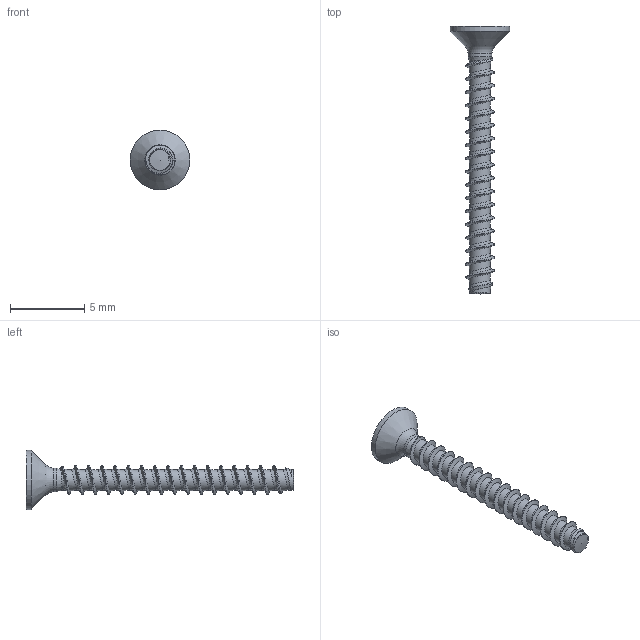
import cadquery as cq
import math

length = 18.0

head_radius = 2.0
head_rim = 0.35
cone_angle = 45
shank_radius = 0.8
neck_fillet = 0.75
shank_end = 2.07
taper_end = 2.41

pitch = 0.889
crest_radius = 1.0
crest_width = 0.03
root_radius = 0.72
valley_radius = 0.69
valley_offset = 0.32
head_side_root = 0.13
tip_side_root = 0.10

last_crest = 17.33
turns = 19
run_in_end = 2.8
run_out_start = 16.7
tip_radius = valley_radius
tip_cone_height = 0.05

sleeve_bore = 0.5
core_radius = 0.6


def revolve_about_axis(profile):
    """Turn a (radius, -depth) profile about the local Z axis."""
    return profile.close().revolve(360, (0, 0, 0), (0, 1, 0))


def make_head():
    """Head, filleted neck, plain shank and the taper into the thread."""
    bend = math.radians(cone_angle)
    cone_end_radius = shank_radius + neck_fillet * (1 - math.cos(bend))
    cone_end = head_rim + (head_radius - cone_end_radius) / math.tan(bend)
    neck_end = cone_end + neck_fillet * math.sin(bend)
    neck_middle = (
        shank_radius + neck_fillet * (1 - math.cos(bend / 2)),
        -(neck_end - neck_fillet * math.sin(bend / 2)),
    )
    profile = (
        cq.Workplane("XZ")
        .lineTo(head_radius, 0)
        .lineTo(head_radius, -head_rim)
        .lineTo(cone_end_radius, -cone_end)
        .threePointArc(neck_middle, (shank_radius, -neck_end))
        .lineTo(shank_radius, -shank_end)
        .lineTo(valley_radius, -taper_end)
        .lineTo(0, -taper_end)
    )
    return revolve_about_axis(profile)


def thread_section():
    """Corners (radius, height) of one pitch of the sleeve, measured from the crest."""
    lower_valley = valley_offset - pitch
    return [
        (sleeve_bore, lower_valley),
        (valley_radius, lower_valley),
        (root_radius, -tip_side_root),
        (crest_radius, -crest_width / 2),
        (crest_radius, crest_width / 2),
        (root_radius, head_side_root),
        (valley_radius, valley_offset),
        (sleeve_bore, valley_offset),
    ]


def helical_faces(first, second, start):
    """One right-handed turn of the surface between two section corners."""
    edges = [
        cq.Wire.makeHelix(pitch, pitch, radius, cq.Vector(0, 0, start + height))
        for radius, height in (first, second)
    ]
    return cq.Face.makeRuledSurface(*edges).Faces()


def end_face(level):
    """Flat face that closes the sleeve where its helix begins or ends."""
    corners = [cq.Vector(radius, 0, level + height) for radius, height in thread_section()]
    return cq.Face.makeFromWires(cq.Wire.makePolygon(corners, close=True))


def make_sleeve():
    """Hollow threaded sleeve, one pitch-wide strip wound over all turns."""
    corners = thread_section()
    start = -(last_crest + pitch)
    last_turn = start + (turns - 1) * pitch
    faces = [end_face(start), end_face(start + turns * pitch)]
    faces += helical_faces(corners[0], corners[1], start)
    faces += helical_faces(corners[-2], corners[-1], last_turn)
    for turn in range(turns):
        level = start + turn * pitch
        for lower, upper in zip(corners[1:-2], corners[2:-1]):
            faces += helical_faces(lower, upper, level)
        faces += helical_faces(corners[-1], corners[0], level)
    return cq.Workplane(obj=cq.Solid.makeSolid(cq.Shell.makeShell(faces)))


def make_envelope():
    """Outer limit of the threaded length: run-in cone, run-out cone and tip."""
    tip_edge = length - tip_cone_height
    profile = (
        cq.Workplane("XZ")
        .moveTo(0, -shank_end)
        .lineTo(shank_radius, -shank_end)
        .lineTo(crest_radius, -run_in_end)
        .lineTo(crest_radius, -run_out_start)
        .lineTo(tip_radius, -tip_edge)
        .lineTo(0, -length)
    )
    return revolve_about_axis(profile)


def make_threaded_length():
    """Sleeve filled by the core and trimmed to the envelope."""
    core = cq.Workplane("XY").circle(core_radius).extrude(-length)
    return make_sleeve().union(core).intersect(make_envelope())


screw = make_head().union(make_threaded_length())
result = screw.rotate((0, 0, 0), (1, 0, 0), -90)